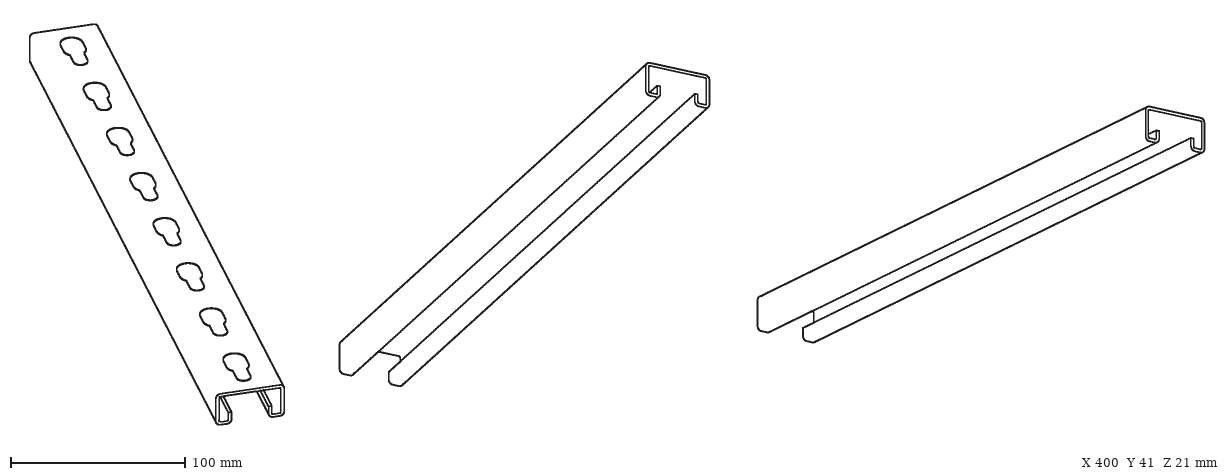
import cadquery as cq

length = 400.0
width = 41.0
height = 21.0

thickness = 2.0
outer_bend_radius = 3.0
inner_bend_radius = outer_bend_radius - thickness
mouth_width = 22.0
lip_height = 7.5
lip_outer_width = mouth_width + 2 * thickness

keyhole_count = 8
keyhole_pitch = length / keyhole_count
keyhole_length = 30.0
head_length = 19.5
head_width = 13.0
neck_width = 8.5
recess_depth = 0.5


def centred_box(size_y, bottom, top):
    """Full-length block centred on X and Y, between two heights."""
    return (
        cq.Workplane("XY", origin=(0, 0, bottom))
        .box(length, size_y, top - bottom, centered=(True, True, False))
    )


def round_fold(body, corner, radius):
    """Round the lengthwise edge that passes through a corner of the section."""
    return body.edges(cq.selectors.NearestToPointSelector(corner)).fillet(radius)


def make_channel():
    """C-shaped channel, open downwards, with lips turned up into the mouth."""
    outside = centred_box(width, 0, height).edges("|X").fillet(outer_bend_radius)
    cavity = centred_box(width - 2 * thickness, thickness, height - thickness)
    cavity = cavity.edges("|X").fillet(inner_bend_radius)
    lips = centred_box(lip_outer_width, 0, lip_height)
    mouth = centred_box(mouth_width, 0, height - thickness)
    channel = outside.cut(cavity).union(lips).cut(mouth)
    for side in (-1, 1):
        outer_corner = (0, side * mouth_width / 2, 0)
        inner_corner = (0, side * lip_outer_width / 2, thickness)
        channel = round_fold(channel, outer_corner, outer_bend_radius)
        channel = round_fold(channel, inner_corner, inner_bend_radius)
    return channel


def make_keyhole():
    """Round-ended head with a narrower round-ended neck pointing to +X."""
    top_plane = cq.Workplane("XY", origin=(0, 0, height))
    head_x = (head_length - keyhole_length) / 2
    neck_length = keyhole_length - head_length / 2
    neck_x = (keyhole_length - neck_length) / 2
    head = top_plane.center(head_x, 0).slot2D(head_length, head_width).extrude(-recess_depth)
    neck = top_plane.center(neck_x, 0).slot2D(neck_length, neck_width).extrude(-recess_depth)
    return head.union(neck)


channel = make_channel()
keyhole = make_keyhole()
for index in range(keyhole_count):
    keyhole_x = (index - (keyhole_count - 1) / 2) * keyhole_pitch
    channel = channel.cut(keyhole.translate((keyhole_x, 0, 0)))

result = channel